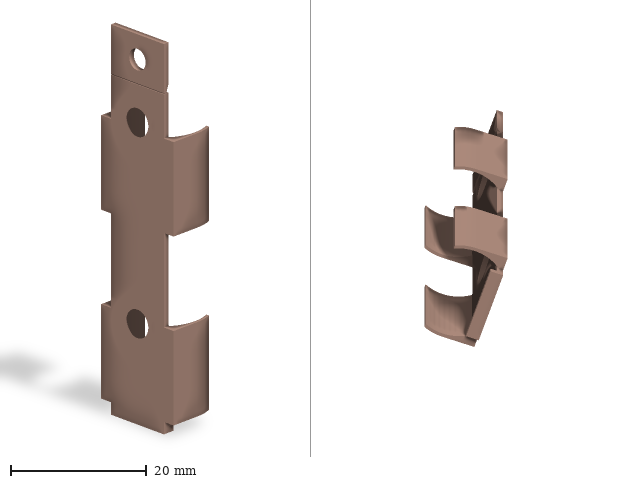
import cadquery as cq

LENGTH = 62.0
CLIP_WIDTH = 15.0
CLIP_DEPTH = 8.0
PLATE_WIDTH = 11.0
PLATE_THICKNESS = 1.0

CLIP_LENGTH = 15.0
CLIP_PITCH = 2 * CLIP_LENGTH
FIRST_CLIP_Z = 2.0
CLIP_BOTTOMS = [FIRST_CLIP_Z, FIRST_CLIP_Z + CLIP_PITCH]

BORE_RADIUS = 7.0
BORE_CENTRE_Y = 5.0

LIP_DEPTH = 2 * PLATE_THICKNESS
LIP_HEIGHT = 1.0

LARGE_HOLE_DIAMETER = 4.5
COUNTERSINK_ANGLE = 90
LARGE_HOLE_ZS = [16.0, 48.0]
SMALL_HOLE_DIAMETER = 3.4
SMALL_HOLE_Z = 58.0

NOTCH_BOTTOM_Z = 54.0
NOTCH_HEIGHT = 1.5
NOTCH_DEPTH = 0.5
SCORE_HEIGHT = 0.2
SCORE_DEPTH = 0.2


def plate_with_lip():
    plate = cq.Workplane("XY").box(
        PLATE_WIDTH, PLATE_THICKNESS, LENGTH, centered=(True, False, False)
    )
    lip = cq.Workplane("XY").box(
        PLATE_WIDTH, LIP_DEPTH, LIP_HEIGHT, centered=(True, False, False)
    )
    return plate.union(lip)


def clip(bottom_z):
    """Clip with straight lower walls, curved arm tips and a round bore above the plate."""
    lower_block = cq.Workplane("XY").box(
        CLIP_WIDTH, BORE_CENTRE_Y, CLIP_LENGTH, centered=(True, False, False)
    )
    round_body = (
        cq.Workplane("XY").center(0, BORE_CENTRE_Y).circle(CLIP_WIDTH / 2).extrude(CLIP_LENGTH)
    )
    envelope = cq.Workplane("XY").box(
        CLIP_WIDTH, CLIP_DEPTH, CLIP_LENGTH, centered=(True, False, False)
    )
    bore = cq.Workplane("XY").center(0, BORE_CENTRE_Y).circle(BORE_RADIUS).extrude(CLIP_LENGTH)
    floor = cq.Workplane("XY").box(
        CLIP_WIDTH, PLATE_THICKNESS, CLIP_LENGTH, centered=(True, False, False)
    )
    body = lower_block.union(round_body.intersect(envelope)).cut(bore).union(floor)
    return body.translate((0, 0, bottom_z))


def straight_hole(diameter, z):
    return cq.Workplane("XZ").center(0, z).circle(diameter / 2).extrude(-PLATE_THICKNESS)


def countersunk_hole(front_diameter, z):
    """Conical hole that widens through the whole plate thickness."""
    return (
        cq.Workplane("XZ")
        .center(0, z)
        .circle(front_diameter / 2)
        .extrude(-PLATE_THICKNESS, taper=-COUNTERSINK_ANGLE / 2)
    )


def bend_notch():
    """Triangular notch across the rear face, flat at its bottom and sloped above."""
    return (
        cq.Workplane("YZ")
        .moveTo(PLATE_THICKNESS, NOTCH_BOTTOM_Z)
        .lineTo(PLATE_THICKNESS - NOTCH_DEPTH, NOTCH_BOTTOM_Z)
        .lineTo(PLATE_THICKNESS, NOTCH_BOTTOM_Z + NOTCH_HEIGHT)
        .close()
        .extrude(PLATE_WIDTH / 2, both=True)
    )


def bend_score():
    """Small triangular score across the front face, flat at its bottom and sloped above."""
    return (
        cq.Workplane("YZ")
        .moveTo(0, NOTCH_BOTTOM_Z)
        .lineTo(SCORE_DEPTH, NOTCH_BOTTOM_Z)
        .lineTo(0, NOTCH_BOTTOM_Z + SCORE_HEIGHT)
        .close()
        .extrude(PLATE_WIDTH / 2, both=True)
    )


result = plate_with_lip()
for clip_bottom in CLIP_BOTTOMS:
    result = result.union(clip(clip_bottom))
for hole_z in LARGE_HOLE_ZS:
    result = result.cut(countersunk_hole(LARGE_HOLE_DIAMETER, hole_z))
result = result.cut(straight_hole(SMALL_HOLE_DIAMETER, SMALL_HOLE_Z))
result = result.cut(bend_notch()).cut(bend_score())